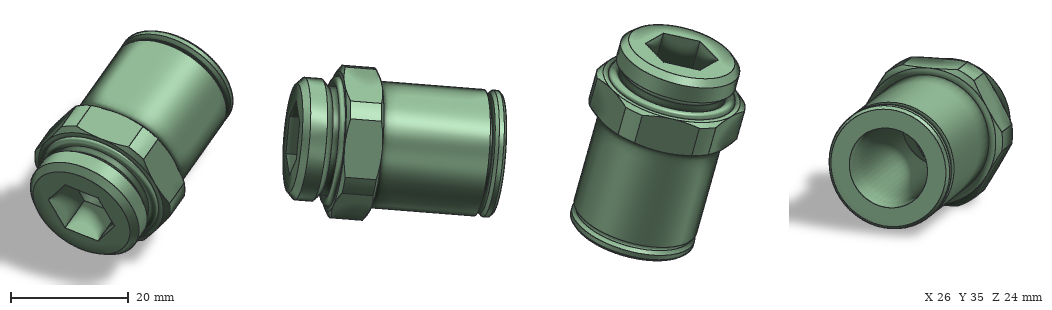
import cadquery as cq
import math

thread_end = 5.2
seal_start = 6.1
hex_start = 7.0
hex_end = 13.5
body_end = 32.1
collar_start = 33.05
total_length = 35.0

thread_radius = 10.45
undercut_radius = 9.3
body_radius = 10.78
collar_neck_radius = 7.7
collar_radius = 10.8

thread_chamfer = thread_radius - undercut_radius
collar_front_chamfer = 0.6
collar_rear_chamfer = 0.5

hex_across_flats = 24.0
hex_corner_radius = 13.0
hex_chamfer_angle = 30.0

socket_across_flats = 11.0
socket_depth = 7.0
bore_radius = 7.0


def along_y(start):
    """Workplane facing +Y at the given station, with its first axis along X."""
    return cq.Workplane("XZ", origin=(0, start, 0)).transformed(rotate=(180, 0, 0))


def cylinder(radius, start, end):
    return along_y(start).circle(radius).extrude(end - start)


def hexagon(across_flats, start, end):
    """Hexagonal prism with two flats facing +Z and -Z."""
    across_corners = across_flats / math.cos(math.radians(30))
    return along_y(start).polygon(6, across_corners).extrude(end - start)


def make_thread():
    """Threaded spigot, chamfered at both ends, and the undercut behind it."""
    spigot = cylinder(thread_radius, 0, thread_end).edges("%CIRCLE").chamfer(thread_chamfer)
    return spigot.union(cylinder(undercut_radius, 0, hex_start))


def make_seal_ring():
    """Round seal ring half sunk into the hexagon face, on a core that fills the hexagon behind it."""
    section_radius = hex_start - seal_start
    ring_radius = undercut_radius + section_radius
    return (
        cq.Workplane("XY")
        .moveTo(0, hex_start)
        .lineTo(undercut_radius, hex_start)
        .threePointArc((ring_radius, seal_start), (ring_radius + section_radius, hex_start))
        .lineTo(ring_radius + section_radius, hex_end)
        .lineTo(0, hex_end)
        .close()
        .revolve(360, (0, 0, 0), (0, 1, 0))
    )


def make_wrench_hex():
    """Wrench hexagon with rounded corners and conical breaks on both faces."""
    inscribed_radius = hex_across_flats / 2
    break_width = hex_corner_radius - inscribed_radius
    break_length = break_width * math.tan(math.radians(hex_chamfer_angle))
    envelope = (
        cq.Workplane("XY")
        .moveTo(0, hex_start)
        .lineTo(inscribed_radius, hex_start)
        .lineTo(hex_corner_radius, hex_start + break_length)
        .lineTo(hex_corner_radius, hex_end - break_length)
        .lineTo(inscribed_radius, hex_end)
        .lineTo(0, hex_end)
        .close()
        .revolve(360, (0, 0, 0), (0, 1, 0))
    )
    return hexagon(hex_across_flats, hex_start, hex_end).intersect(envelope)


def make_body():
    return cylinder(body_radius, hex_end, body_end)


def make_release_collar():
    """Release collar with chamfered rims on a narrower neck."""
    neck = cylinder(collar_neck_radius, body_end, total_length)
    rim = cylinder(collar_radius, collar_start, total_length)
    rim = rim.edges("<Y").chamfer(collar_front_chamfer)
    rim = rim.edges(">Y").chamfer(collar_rear_chamfer)
    return neck.union(rim)


def make_passage():
    socket = hexagon(socket_across_flats, 0, socket_depth)
    return socket.union(cylinder(bore_radius, socket_depth, total_length))


result = (
    make_thread()
    .union(make_seal_ring())
    .union(make_wrench_hex())
    .union(make_body())
    .union(make_release_collar())
    .cut(make_passage())
)